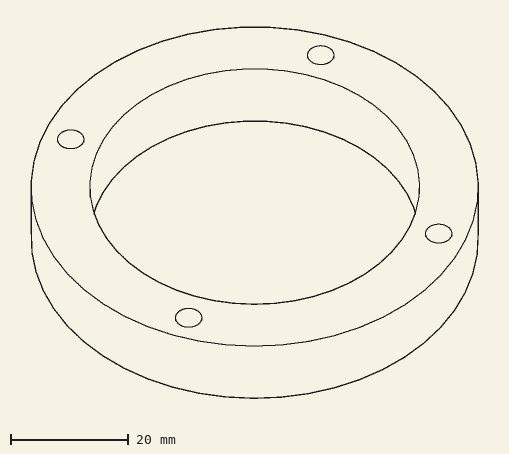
import cadquery as cq

outer_diameter = 76.0
bore_diameter = 56.0
thickness = 12.7

hole_count = 4
hole_diameter = 4.5
hole_circle_diameter = 66.4


def make_ring():
    """Flat ring centred on the Z axis, resting on the XY plane."""
    return (
        cq.Workplane("XY")
        .circle(outer_diameter / 2)
        .circle(bore_diameter / 2)
        .extrude(thickness)
    )


def make_hole_cutters():
    """Cylinders for the through holes, the first one on the +X axis."""
    return (
        cq.Workplane("XY")
        .polarArray(hole_circle_diameter / 2, 0, 360, hole_count)
        .circle(hole_diameter / 2)
        .extrude(thickness)
    )


result = make_ring().cut(make_hole_cutters())